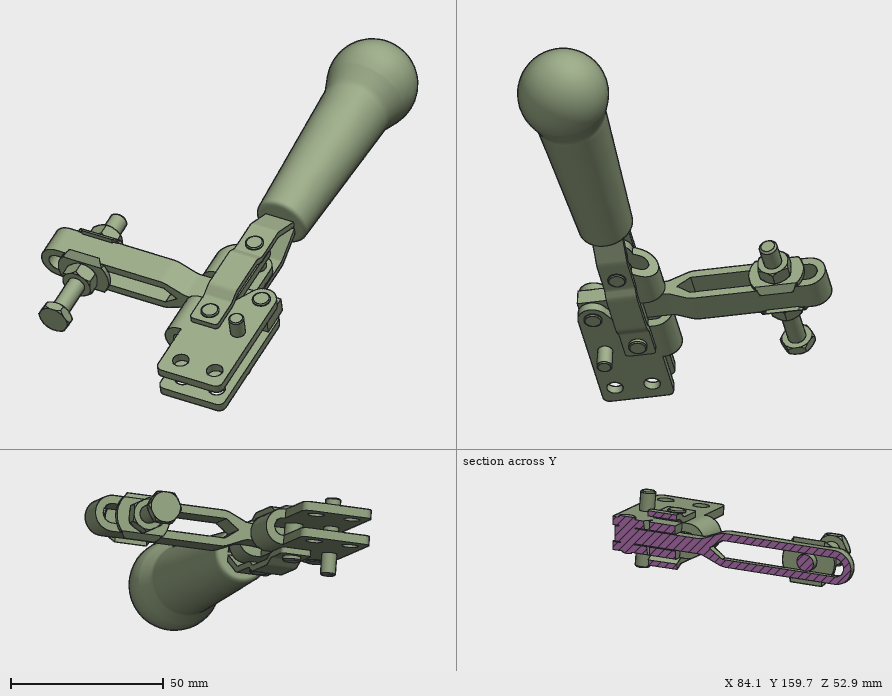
import cadquery as cq
import math

TILT = 11.7
TWIST = -1.0

PLATE_OUTER = 5.9
PLATE_THICKNESS = 3.0
PLATE_INNER = PLATE_OUTER - PLATE_THICKNESS
STRAP_THICKNESS = 2.0
STRAP_OUTER = PLATE_OUTER + STRAP_THICKNESS
STRAP_BULGE = 1.9

HANDLE_X = 25.1
UPPER_PIN_Y = -18.3
LOWER_PIN_Y = -51.1
ARM_Y = -38.6
ARM_PIVOT_X = 37.6
STOP_PIN_X = 36.9
STOP_PIN_Y = -54.5

FOLD_X = 18.3
FOLD_TOP_Y = -23.2
FOLD_BOTTOM_Y = -60.3
FOOT_LEFT_X = 18.8
PLATE_BOTTOM_Y = -79.4
PLATE_CORNER = 2.3
EAR_RADIUS = 5.0
TIP_RADIUS = 4.8
PLATE_RIGHT_X = ARM_PIVOT_X + EAR_RADIUS
NOTCH_X = 29.8
NOTCH_Y = -42.0
MOUNT_HOLE_RADIUS = 2.7
MOUNT_HOLE_Y = -73.0
MOUNT_HOLE_SPACING = 12.5
MOUNT_HOLES_X = (HANDLE_X, HANDLE_X + MOUNT_HOLE_SPACING)
SLOT_TOP_Y = -33.1
SLOT_BOTTOM_Y = -44.9
SLOT_END_X = 20.5

PIN_RADIUS = 3.0
PIN_HEAD = 0.7
LOWER_HEAD = 1.5
STOP_RADIUS = 2.5
STOP_TOP = 12.45
STOP_BOTTOM = -13.05
PIN_CHAMFER = 0.4

ARM_WIDTH = 10.5
ARM_OUTER = 6.0
ARM_THICKNESS = 2.75
ARM_LEFT_X = -41.4
ARM_BEND_X = 4.0
ARM_NECK_X = 11.5
ARM_BEND_RADIUS = 7.0
ARM_NECK_RADIUS = 5.0
ARM_RIGHT_X = 41.9
ARM_OPENING_END_X = 8.5

BOLT_X = -25.2
BOLT_RADIUS = 3.0
BOLT_TOP_Y = -18.7
BOLT_TIP_CHAMFER = 0.7
BOLT_FLATS = 10.0
HEX_CHAMFER = 0.7
HEAD_TURN = 0
NUT_TURN = 30
BOLT_HEAD_TOP_Y = -64.3
BOLT_HEAD_HEIGHT = 3.2
NUT_HEIGHT = 5.0
WASHER_THICKNESS = 1.6
WASHER_RADIUS = 9.2
WASHER_HALF_HEIGHT = 5.7
LIP_TOP = 7.6
LIP_BASE_WIDTH = 14.4
LIP_TIP_WIDTH = 11.0
LIP_REACH = 0.7

STRAP_WIDTH = 10.2
STRAP_END_Y = -56.1
STRAP_CORNER = 1.2
STRAP_SPLAY_Y = -11.0
BULGE_START_Y = -23.2
BULGE_FULL_Y = -26.3
BULGE_RETURN_Y = -41.1
BULGE_END_Y = -44.9
STRAP_BEND_RADIUS = 3.0
STRAP_JOIN_Y = 0.5
STRAP_ROOT_Y = 10.0
BALL_Y = 66.95
BALL_RADIUS = 15.0
GRIP_FLARE = math.radians(20)
GRIP_CONE_END_Y = 56.3
GRIP_NECK_Y = 53.6
GRIP_NECK_RADIUS = 11.7
GRIP_BOTTOM_Y = -0.7
GRIP_BOTTOM_RADIUS = 9.0
GRIP_BOTTOM_FILLET = 1.6


def ear_tangent_point():
    """Upper left point where the line from the notch touches the ear."""
    rise = NOTCH_Y - ARM_Y
    run = NOTCH_X - ARM_PIVOT_X
    angle = math.atan2(rise, run) - math.acos(EAR_RADIUS / math.hypot(run, rise))
    return ARM_PIVOT_X + EAR_RADIUS * math.cos(angle), ARM_Y + EAR_RADIUS * math.sin(angle)


def cylinder_z(x, y, radius, low, high):
    """Upright cylinder between two Z positions."""
    return cq.Workplane("XY", origin=(x, y, low)).circle(radius).extrude(high - low)


def disc_y(radius, low, high):
    """Cylinder on the bolt axis between two Y positions."""
    return cq.Workplane("XZ", origin=(BOLT_X, high, 0)).circle(radius).extrude(high - low)


def hexagon_y(low, high, turn):
    """Chamfered hexagonal prism on the bolt axis, turned about that axis."""
    across_corners = BOLT_FLATS / math.cos(math.pi / 6)
    prism = cq.Workplane("XZ", origin=(BOLT_X, high, 0)).polygon(6, across_corners).extrude(high - low)
    prism = prism.rotate((BOLT_X, 0, 0), (BOLT_X, 1, 0), turn)
    return prism.intersect(disc_y(across_corners / 2, low, high).faces("|Y").chamfer(HEX_CHAMFER))


def plate_outline():
    """Upper tip, notch, ear and foot of one base plate, left edge on the fold line."""
    fold_left = FOLD_X - PLATE_OUTER
    ear_left = ear_tangent_point()
    diagonal = math.sqrt(0.5)
    return (
        cq.Workplane("XY")
        .moveTo(fold_left, FOLD_BOTTOM_Y)
        .lineTo(fold_left, FOLD_TOP_Y)
        .lineTo(HANDLE_X - TIP_RADIUS, UPPER_PIN_Y)
        .threePointArc((HANDLE_X, UPPER_PIN_Y + TIP_RADIUS), (HANDLE_X + TIP_RADIUS, UPPER_PIN_Y))
        .lineTo(NOTCH_X, NOTCH_Y)
        .lineTo(*ear_left)
        .threePointArc(
            (ARM_PIVOT_X + EAR_RADIUS * diagonal, ARM_Y + EAR_RADIUS * diagonal),
            (PLATE_RIGHT_X, ARM_Y),
        )
        .lineTo(PLATE_RIGHT_X, PLATE_BOTTOM_Y)
        .lineTo(FOOT_LEFT_X, PLATE_BOTTOM_Y)
        .lineTo(FOOT_LEFT_X, FOLD_BOTTOM_Y)
        .close()
    )


def make_base():
    """Folded sheet: two plates joined by a half-round fold with a slot for the arm."""
    outline = plate_outline().extrude(2 * PLATE_OUTER).translate((0, 0, -PLATE_OUTER))
    foot = cq.selectors.BoxSelector(
        (0, PLATE_BOTTOM_Y - 1, -2 * PLATE_OUTER), (2 * PLATE_RIGHT_X, PLATE_BOTTOM_Y + 1, 2 * PLATE_OUTER)
    )
    outline = outline.edges("|Z").edges(foot).fillet(PLATE_CORNER)
    folded = (
        cq.Workplane("XZ")
        .moveTo(PLATE_RIGHT_X, PLATE_OUTER)
        .lineTo(FOLD_X, PLATE_OUTER)
        .threePointArc((FOLD_X - PLATE_OUTER, 0), (FOLD_X, -PLATE_OUTER))
        .lineTo(PLATE_RIGHT_X, -PLATE_OUTER)
        .lineTo(PLATE_RIGHT_X, -PLATE_INNER)
        .lineTo(FOLD_X, -PLATE_INNER)
        .threePointArc((FOLD_X - PLATE_INNER, 0), (FOLD_X, PLATE_INNER))
        .lineTo(PLATE_RIGHT_X, PLATE_INNER)
        .close()
        .extrude(-PLATE_BOTTOM_Y)
    )
    base = outline.intersect(folded)
    slot = cq.Workplane("XY").box(
        SLOT_END_X, SLOT_TOP_Y - SLOT_BOTTOM_Y, 3 * PLATE_OUTER, centered=(False, False, True)
    )
    base = base.cut(slot.translate((0, SLOT_BOTTOM_Y, 0)))
    for x in MOUNT_HOLES_X:
        base = base.cut(cylinder_z(x, MOUNT_HOLE_Y, MOUNT_HOLE_RADIUS, -2 * PLATE_OUTER, 2 * PLATE_OUTER))
    return base


def make_pins():
    """Two handle pins, the arm pivot and the long stop pin, all with chamfered ends."""
    strap_head = STRAP_OUTER + PIN_HEAD
    plate_head = PLATE_OUTER + PIN_HEAD
    pins = [
        cylinder_z(HANDLE_X, UPPER_PIN_Y, PIN_RADIUS, -strap_head, strap_head),
        cylinder_z(HANDLE_X, LOWER_PIN_Y, PIN_RADIUS, -STRAP_OUTER - LOWER_HEAD, strap_head),
        cylinder_z(ARM_PIVOT_X, ARM_Y, PIN_RADIUS, -plate_head, plate_head),
        cylinder_z(STOP_PIN_X, STOP_PIN_Y, STOP_RADIUS, STOP_BOTTOM, STOP_TOP),
    ]
    joined = cq.Workplane("XY")
    for pin in pins:
        joined = joined.add(pin.faces("|Z").chamfer(PIN_CHAMFER))
    return joined.combine()


def loop_profile(half_height):
    """Strip loop from one bend, around the rounded end, to the other bend."""
    loop_x = ARM_LEFT_X + ARM_OUTER
    return (
        cq.Workplane("XZ")
        .moveTo(ARM_BEND_X, -half_height)
        .lineTo(loop_x, -half_height)
        .threePointArc((loop_x - half_height, 0), (loop_x, half_height))
        .lineTo(ARM_BEND_X, half_height)
    )


def edges_near_x(x):
    """Selector for the arm bend edges at one X position."""
    margin = 0.1
    reach = 2 * ARM_OUTER
    return cq.selectors.BoxSelector((x - margin, -margin, -reach), (x + margin, margin, reach))


def make_arm():
    """Strip looped at the clamping end and pressed together between the plates."""
    outer = (
        loop_profile(ARM_OUTER)
        .lineTo(ARM_NECK_X, ARM_THICKNESS)
        .lineTo(ARM_RIGHT_X, ARM_THICKNESS)
        .lineTo(ARM_RIGHT_X, -ARM_THICKNESS)
        .lineTo(ARM_NECK_X, -ARM_THICKNESS)
        .close()
        .extrude(ARM_WIDTH / 2, both=True)
    )
    outer = outer.edges(edges_near_x(ARM_BEND_X)).fillet(ARM_BEND_RADIUS)
    outer = outer.edges(edges_near_x(ARM_NECK_X)).fillet(ARM_NECK_RADIUS)
    opening = (
        loop_profile(ARM_OUTER - ARM_THICKNESS)
        .lineTo(ARM_OPENING_END_X, 0)
        .close()
        .extrude(ARM_WIDTH / 2, both=True)
    )
    return outer.cut(opening).translate((0, ARM_Y, 0))


def make_washer(side):
    """Round washer trimmed flat, with two lips that slope in over the arm edges."""
    near = ARM_Y + side * ARM_WIDTH / 2
    far = near + side * WASHER_THICKNESS
    trim = cq.Workplane("XY").box(4 * WASHER_RADIUS, 4 * WASHER_RADIUS, 2 * WASHER_HALF_HEIGHT)
    washer = disc_y(WASHER_RADIUS, min(near, far), max(near, far))
    washer = washer.intersect(trim.translate((BOLT_X, near, 0)))
    tip = near - side * LIP_REACH
    lip = (
        cq.Workplane("YZ", origin=(BOLT_X, 0, 0))
        .polyline([(far, WASHER_HALF_HEIGHT), (near, WASHER_HALF_HEIGHT), (tip, ARM_OUTER), (tip, LIP_TOP)])
        .close()
        .extrude(LIP_BASE_WIDTH, both=True)
    )
    plan = (
        cq.Workplane("XY", origin=(BOLT_X, 0, 0))
        .polyline([
            (-LIP_BASE_WIDTH / 2, far),
            (LIP_BASE_WIDTH / 2, far),
            (LIP_TIP_WIDTH / 2, tip),
            (-LIP_TIP_WIDTH / 2, tip),
        ])
        .close()
        .extrude(LIP_TOP)
    )
    lip = lip.intersect(plan)
    return washer.union(lip).union(lip.mirror("XY"))


def make_bolt():
    """Hexagon bolt through the arm loop, held by a nut and a flanged washer on each side."""
    bolt = disc_y(BOLT_RADIUS, BOLT_HEAD_TOP_Y, BOLT_TOP_Y).faces(">Y").chamfer(BOLT_TIP_CHAMFER)
    bolt = bolt.union(hexagon_y(BOLT_HEAD_TOP_Y - BOLT_HEAD_HEIGHT, BOLT_HEAD_TOP_Y, HEAD_TURN))
    seat = ARM_WIDTH / 2 + WASHER_THICKNESS
    bolt = bolt.union(hexagon_y(ARM_Y + seat, ARM_Y + seat + NUT_HEIGHT, NUT_TURN))
    bolt = bolt.union(hexagon_y(ARM_Y - seat - NUT_HEIGHT, ARM_Y - seat, NUT_TURN))
    return bolt.union(make_washer(1)).union(make_washer(-1))


def rounded_path(points, radius):
    """Open line through the points in the YZ plane at the handle, with every corner rounded."""
    path = cq.Workplane("YZ", origin=(HANDLE_X, 0, 0)).moveTo(*points[0])
    for before, corner, after in zip(points, points[1:], points[2:]):
        turn_in = math.atan2(corner[1] - before[1], corner[0] - before[0])
        turn_out = math.atan2(after[1] - corner[1], after[0] - corner[0])
        turn = math.remainder(turn_out - turn_in, 2 * math.pi)
        setback = radius * math.tan(abs(turn) / 2)
        start = (corner[0] - setback * math.cos(turn_in), corner[1] - setback * math.sin(turn_in))
        end = (corner[0] + setback * math.cos(turn_out), corner[1] + setback * math.sin(turn_out))
        path = path.lineTo(*start).tangentArcPoint(end, relative=False)
    return path.lineTo(*points[-1])


def make_strap():
    """Upper strap of the handle: flat at both pins, bulged over the arm, splayed from the grip."""
    centre = STRAP_OUTER - STRAP_THICKNESS / 2
    raised = centre + STRAP_BULGE
    path = [
        (STRAP_ROOT_Y, STRAP_THICKNESS / 2),
        (STRAP_JOIN_Y, STRAP_THICKNESS / 2),
        (STRAP_SPLAY_Y, centre),
        (BULGE_START_Y, centre),
        (BULGE_FULL_Y, raised),
        (BULGE_RETURN_Y, raised),
        (BULGE_END_Y, centre),
        (STRAP_END_Y - STRAP_THICKNESS, centre),
    ]
    strap = (
        rounded_path(path, STRAP_BEND_RADIUS)
        .wire()
        .offset2D(STRAP_THICKNESS / 2)
        .extrude(STRAP_WIDTH / 2, both=True)
    )
    length = STRAP_ROOT_Y - STRAP_END_Y
    plan = cq.Workplane("XY").box(STRAP_WIDTH, length, 2 * raised + STRAP_WIDTH)
    plan = plan.edges("|Z and <Y").fillet(STRAP_CORNER)
    return strap.intersect(plan.translate((HANDLE_X, STRAP_END_Y + length / 2, 0)))


def make_grip():
    """Tapered round grip with a ball end, turned about the handle axis."""
    cone_top_radius = BALL_RADIUS * math.cos(GRIP_FLARE)
    cone_top_y = BALL_Y - BALL_RADIUS * math.sin(GRIP_FLARE)
    cone_end_radius = cone_top_radius - (cone_top_y - GRIP_CONE_END_Y) * math.tan(GRIP_FLARE)
    profile = (
        cq.Workplane("XY", origin=(HANDLE_X, 0, 0))
        .moveTo(0, BALL_Y + BALL_RADIUS)
        .threePointArc((BALL_RADIUS, BALL_Y), (cone_top_radius, cone_top_y))
        .lineTo(cone_end_radius, GRIP_CONE_END_Y)
        .tangentArcPoint((GRIP_NECK_RADIUS, GRIP_NECK_Y), relative=False)
        .lineTo(GRIP_BOTTOM_RADIUS, GRIP_BOTTOM_Y)
        .lineTo(0, GRIP_BOTTOM_Y)
        .close()
    )
    grip = profile.revolve(360, (0, 0, 0), (0, 1, 0))
    return grip.faces("<Y").edges().fillet(GRIP_BOTTOM_FILLET)


strap = make_strap()
clamp = make_base().union(make_pins()).union(make_arm()).union(make_bolt())
clamp = clamp.union(strap).union(strap.mirror("XY")).union(make_grip())
result = clamp.rotate((0, 0, 0), (0, 0, 1), TWIST).rotate((0, 0, 0), (1, 0, 0), TILT)